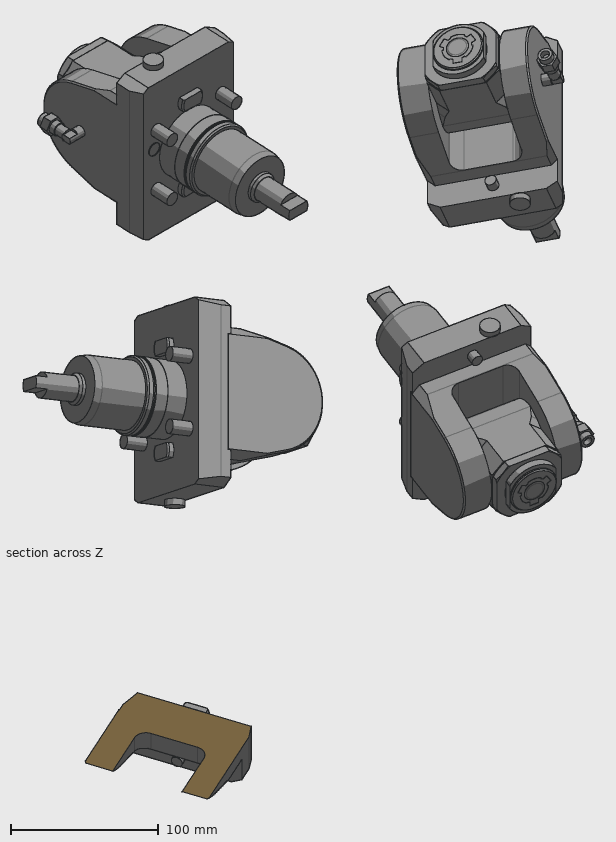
import cadquery as cq
import math


PLATE_THICKNESS = 23.1
PLATE_HALF_HEIGHT = 129.4 / 2
PLATE_LEFT = 46.5
PLATE_RIGHT = -45.2
CORNER_START = 37.5
CORNER_SLOPE = 31.0
REAR_HALF_WIDTH = 42.0
REAR_TAPER_ANGLE = 16.0

FORK_LEFT = 47.0
FORK_RIGHT = PLATE_RIGHT
FORK_HALF_HEIGHT = 45.5
FORK_FLANK_ANGLE = 15.0
FORK_NOSE_RADIUS = 37.7
FORK_EDGE_CHAMFER = 5.9
FORK_RIM_CHAMFER = 1.0
PIVOT_X = -58.2
POCKET_HALF_WIDTH = 25.5
POCKET_CORNER_RADIUS = 8.3

HEAD_RADIUS = 47.8 / 2
HEAD_FRONT = -96.5
HEAD_CORNER = 9.0
RUNOUT_START = -73.0
RUNOUT_MIDDLE = -67.2
RUNOUT_END = -57.5
RUNOUT_MIDDLE_CORNER = 4.4
FACE_FRONT = -102.3
FACE_HALF_WIDTH = 25.0
FACE_HALF_HEIGHT = 23.8
FACE_CORNER = 9.2
FACE_TURNED_RADIUS = 29.2
FACE_CHAMFER = 1.3

NUT_FRONT = -107.5
NUT_RADIUS = 41.7 / 2
NUT_HALF_FLATS = 17.9
NUT_NECK_RADIUS = 18.8
NUT_NECK_LENGTH = 0.2
DISC_FRONT = -109.5
DISC_RADIUS = 17.7
DISC_CHAMFER = 0.9
TOOTH_FRONT = -109.7
TOOTH_ROOT_RADIUS = 10.0
TOOTH_TIP_RADIUS = 12.9
TOOTH_WIDTH = 6.5
LOBE_RADIUS = 11.0
LOBE_WIDTH = 10.0
CENTRE_RADIUS = 7.9
CENTRE_BEVEL_DEPTH = 0.33
CENTRE_BEVEL_WIDTH = 1.3
HEAD_TIP = -110.2

SPIGOT_RADIUS = 27.3
SPIGOT_RELIEF_RADIUS = 27.0
SPIGOT_RELIEF_END = 15.0
GROOVE_START = 24.2
GROOVE_FLOOR_END = 25.0
GROOVE_END = 26.5
GROOVE_RADIUS = 26.6
SPIGOT_END = 30.8
SPIGOT_CHAMFER = 1.0
BODY_RADIUS = 24.0
BODY_END_RADIUS = 23.0
BODY_TAPER_START = 65.0
BODY_END = 70.2
COLLAR_RADIUS = 22.0 / 2
COLLAR_CHAMFER = 1.7
COLLAR_END = 74.5
SHAFT_RADIUS = 9.0
SHAFT_END = 99.0
TANG_END = 108.0
TANG_THICKNESS = 8.3

DOWEL_RADIUS = 8.0 / 2
DOWEL_LENGTH = 6.8
DOWEL_Z = 54.5
PLUG_RADIUS = 7.0
PLUG_HEIGHT = 4.4
PLUG_X = -16.8
PLUG_Y = -17.0
BOLT_RADIUS = 5.0
BOLT_LENGTH = 15.7
BOLT_Y = 30.0
BOLT_Z = 25.0
KEY_RADIUS = 9.8
KEY_WIDTH = 10.0
KEY_HEIGHT = 4.5
KEY_CHAMFER = 1.0
KEY_Z = 36.2
PAD_RADIUS = 5.0
PAD_HEIGHT = 0.7
PAD_Y = -32.3
PAD_Z = 9.8

STEM_X = -58.5
PIPE_RADIUS = 4.1
ELBOW_Y = -54.8
ELBOW_FLAT_FRONT = -61.3
ELBOW_FLAT_INNER_Y = -51.5
ELBOW_FLAT_HALF_HEIGHT = 2.5
SLEEVE_RADIUS = 5.0
SLEEVE_REAR = -69.5
SLEEVE_FRONT = -85.5
HEX_REAR = -74.2
HEX_FRONT = -81.0
HEX_CORNER_RADIUS = 7.2
OUTLET_RADIUS = 3.0
OUTLET_DEPTH = 4.4

OVERLAP = 2.2
CLEAR = 131.0


def box(x0, x1, y0, y1, z0, z1):
    return cq.Workplane("XY").box(x1 - x0, y1 - y0, z1 - z0, centered=False).translate((x0, y0, z0))


def rod_x(x0, x1, radius, y=0.0, z=0.0):
    return cq.Workplane("YZ", origin=(x0, y, z)).circle(radius).extrude(x1 - x0)


def prism_x(points, x0, x1):
    return cq.Workplane("YZ", origin=(x0, 0, 0)).polyline(points).close().extrude(x1 - x0)


def octagon(half_width, half_height, corner_y, corner_z):
    y, z = half_width, half_height
    return [
        (y, z - corner_z), (y - corner_y, z), (corner_y - y, z), (-y, z - corner_z),
        (-y, corner_z - z), (corner_y - y, -z), (y - corner_y, -z), (y, corner_z - z),
    ]


def mounting_plate():
    corner_y = PLATE_LEFT - CORNER_START
    corner_z = corner_y * math.tan(math.radians(CORNER_SLOPE))
    outline = octagon(PLATE_LEFT, PLATE_HALF_HEIGHT, corner_y, corner_z)
    plate = prism_x(outline, -PLATE_THICKNESS, 0)

    taper_depth = PLATE_LEFT - REAR_HALF_WIDTH
    taper_start = -taper_depth / math.tan(math.radians(REAR_TAPER_ANGLE))
    sides = [
        (0, REAR_HALF_WIDTH), (taper_start, PLATE_LEFT), (-PLATE_THICKNESS, PLATE_LEFT),
        (-PLATE_THICKNESS, -PLATE_LEFT), (taper_start, -PLATE_LEFT), (0, -REAR_HALF_WIDTH),
    ]
    footprint = cq.Workplane("XY").polyline(sides).close().extrude(CLEAR, both=True)
    trimmed = box(-CLEAR, CLEAR, PLATE_RIGHT, CLEAR, -CLEAR, CLEAR)
    return plate.intersect(footprint).intersect(trimmed)


def fork_blank():
    angle = math.radians(FORK_FLANK_ANGLE)
    tangent_x = PIVOT_X - FORK_NOSE_RADIUS * math.sin(angle)
    tangent_z = FORK_NOSE_RADIUS * math.cos(angle)
    shoulder_x = tangent_x + (FORK_HALF_HEIGHT - tangent_z) / math.tan(angle)
    root_x = OVERLAP - PLATE_THICKNESS
    blank = (
        cq.Workplane("XZ", origin=(0, FORK_LEFT, 0))
        .moveTo(root_x, FORK_HALF_HEIGHT)
        .lineTo(shoulder_x, FORK_HALF_HEIGHT)
        .lineTo(tangent_x, tangent_z)
        .threePointArc((PIVOT_X - FORK_NOSE_RADIUS, 0), (tangent_x, -tangent_z))
        .lineTo(shoulder_x, -FORK_HALF_HEIGHT)
        .lineTo(root_x, -FORK_HALF_HEIGHT)
        .close()
        .extrude(FORK_LEFT - FORK_RIGHT)
    )
    rim = cq.selectors.BoxSelector(
        (PIVOT_X - FORK_NOSE_RADIUS - OVERLAP, -CLEAR, -CLEAR),
        (shoulder_x - OVERLAP, CLEAR, CLEAR),
    )
    return blank.faces("<Y or >Y").edges(rim).chamfer(FORK_RIM_CHAMFER)


def fork():
    section = octagon(FORK_LEFT, FORK_HALF_HEIGHT, FORK_EDGE_CHAMFER, FORK_EDGE_CHAMFER)
    body = fork_blank().intersect(prism_x(section, -CLEAR, 0))

    pocket_rear = PIVOT_X + HEAD_RADIUS
    pocket = box(-CLEAR, pocket_rear, -POCKET_HALF_WIDTH, POCKET_HALF_WIDTH, -CLEAR, CLEAR)
    return body.cut(pocket.edges("|Z and >X").fillet(POCKET_CORNER_RADIUS))


def corner_wedge(x0, corner0, x1, corner1):
    """Cutter for the +Y +Z head corner; its bevel goes from corner0 at x0 to corner1 at x1."""
    y = POCKET_HALF_WIDTH + OVERLAP
    z = HEAD_RADIUS + OVERLAP
    leg0 = corner0 + 2 * OVERLAP
    leg1 = corner1 + 2 * OVERLAP
    return (
        cq.Workplane("YZ", origin=(x0, 0, 0))
        .polyline([(y, z), (y - leg0, z), (y, z - leg0)]).close()
        .workplane(offset=x1 - x0)
        .polyline([(y, z), (y - leg1, z), (y, z - leg1)]).close()
        .loft(ruled=True)
    )


def swivel_head():
    w = POCKET_HALF_WIDTH
    block = box(HEAD_FRONT, PIVOT_X, -w, w, -HEAD_RADIUS, HEAD_RADIUS)
    hub = cq.Workplane("XZ", origin=(PIVOT_X, w, 0)).circle(HEAD_RADIUS).extrude(2 * w)
    head = block.union(hub)

    stations = [
        (HEAD_FRONT - OVERLAP, HEAD_CORNER), (RUNOUT_START, HEAD_CORNER),
        (RUNOUT_MIDDLE, RUNOUT_MIDDLE_CORNER), (RUNOUT_END, 0.0),
    ]
    for (x0, corner0), (x1, corner1) in zip(stations, stations[1:]):
        wedge = corner_wedge(x0, corner0, x1, corner1)
        for cutter in (wedge, wedge.mirror("XZ")):
            head = head.cut(cutter).cut(cutter.mirror("XY"))

    outline = octagon(FACE_HALF_WIDTH, FACE_HALF_HEIGHT, FACE_CORNER, FACE_CORNER)
    turned = rod_x(FACE_FRONT, HEAD_FRONT, FACE_TURNED_RADIUS).faces("<X or >X").chamfer(FACE_CHAMFER)
    face = prism_x(outline, FACE_FRONT, HEAD_FRONT).intersect(turned)
    return head.union(face)


def clamping_nut():
    flats = box(-CLEAR, 0, -NUT_HALF_FLATS, NUT_HALF_FLATS, -CLEAR, CLEAR)
    nut = rod_x(NUT_FRONT, HEAD_FRONT, NUT_RADIUS).intersect(flats)
    neck = rod_x(FACE_FRONT - NUT_NECK_LENGTH, HEAD_FRONT, NUT_NECK_RADIUS)
    disc = rod_x(DISC_FRONT, NUT_FRONT + OVERLAP, DISC_RADIUS).faces("<X").chamfer(DISC_CHAMFER)

    inner_x = DISC_FRONT + OVERLAP
    toothed = rod_x(TOOTH_FRONT, inner_x, TOOTH_ROOT_RADIUS)
    tooth = box(TOOTH_FRONT, inner_x, -TOOTH_WIDTH / 2, TOOTH_WIDTH / 2, -TOOTH_TIP_RADIUS, 0)
    lobe = box(TOOTH_FRONT, inner_x, -LOBE_WIDTH / 2, LOBE_WIDTH / 2, 0, CLEAR)
    lobe = lobe.intersect(rod_x(TOOTH_FRONT, inner_x, LOBE_RADIUS))
    for turn in (0, 120, 240):
        toothed = toothed.union(tooth.union(lobe).rotate((0, 0, 0), (1, 0, 0), turn))

    centre = rod_x(HEAD_TIP, inner_x, CENTRE_RADIUS)
    centre = centre.faces("<X").chamfer(CENTRE_BEVEL_DEPTH, CENTRE_BEVEL_WIDTH)
    return nut.union(neck).union(disc).union(toothed).union(centre)


def drive_shank():
    profile = [
        (-OVERLAP, 0), (-OVERLAP, SPIGOT_RELIEF_RADIUS),
        (SPIGOT_RELIEF_END, SPIGOT_RELIEF_RADIUS), (SPIGOT_RELIEF_END, SPIGOT_RADIUS),
        (GROOVE_START, SPIGOT_RADIUS), (GROOVE_START, GROOVE_RADIUS),
        (GROOVE_FLOOR_END, GROOVE_RADIUS), (GROOVE_END, SPIGOT_RADIUS),
        (SPIGOT_END - SPIGOT_CHAMFER, SPIGOT_RADIUS), (SPIGOT_END, SPIGOT_RADIUS - SPIGOT_CHAMFER),
        (SPIGOT_END, BODY_RADIUS),
        (BODY_TAPER_START, BODY_RADIUS), (BODY_END, BODY_END_RADIUS),
        (BODY_END, COLLAR_RADIUS),
        (COLLAR_END - COLLAR_CHAMFER, COLLAR_RADIUS), (COLLAR_END, COLLAR_RADIUS - COLLAR_CHAMFER),
        (COLLAR_END, SHAFT_RADIUS), (TANG_END, SHAFT_RADIUS), (TANG_END, 0),
    ]
    shank = cq.Workplane("XY").polyline(profile).close().revolve(360, (0, 0, 0), (1, 0, 0))
    above_tang = box(SHAFT_END, CLEAR, -CLEAR, CLEAR, TANG_THICKNESS / 2, CLEAR)
    return shank.cut(above_tang).cut(above_tang.mirror("XY"))


def plate_fittings():
    fittings = rod_x(-OVERLAP, PAD_HEIGHT, PAD_RADIUS, PAD_Y, PAD_Z)
    key_flats = box(-CLEAR, CLEAR, -CLEAR, CLEAR, -KEY_WIDTH / 2, KEY_WIDTH / 2)
    key = rod_x(-OVERLAP, KEY_HEIGHT, KEY_RADIUS).faces(">X").chamfer(KEY_CHAMFER).intersect(key_flats)
    plug = (
        cq.Workplane("XY", origin=(PLUG_X, PLUG_Y, PLATE_HALF_HEIGHT))
        .circle(PLUG_RADIUS)
        .extrude(PLUG_HEIGHT)
    )
    fittings = fittings.union(plug).union(plug.mirror("XY"))
    front = -PLATE_THICKNESS
    for side in (1, -1):
        fittings = fittings.union(key.translate((0, 0, side * KEY_Z)))
        fittings = fittings.union(
            rod_x(front - DOWEL_LENGTH, front + OVERLAP, DOWEL_RADIUS, 0, side * DOWEL_Z)
        )
        for bolt_y in (BOLT_Y, -BOLT_Y):
            fittings = fittings.union(rod_x(-OVERLAP, BOLT_LENGTH, BOLT_RADIUS, bolt_y, side * BOLT_Z))
    return fittings


def coolant_elbow():
    elbow_outer_y = ELBOW_Y - PIPE_RADIUS
    stem = (
        cq.Workplane("XZ", origin=(STEM_X, FORK_RIGHT + OVERLAP, 0))
        .circle(PIPE_RADIUS)
        .extrude(FORK_RIGHT + OVERLAP - elbow_outer_y)
    )
    arm = rod_x(SLEEVE_REAR - OVERLAP, STEM_X, PIPE_RADIUS, ELBOW_Y)
    elbow = stem.union(arm)
    flat = box(
        ELBOW_FLAT_FRONT, 0, -CLEAR, ELBOW_FLAT_INNER_Y, ELBOW_FLAT_HALF_HEIGHT, CLEAR
    )
    elbow = elbow.cut(flat).cut(flat.mirror("XY"))

    sleeve = rod_x(SLEEVE_FRONT, SLEEVE_REAR, SLEEVE_RADIUS, ELBOW_Y)
    hexagon = (
        cq.Workplane("YZ", origin=(HEX_FRONT, ELBOW_Y, 0))
        .polygon(6, 2 * HEX_CORNER_RADIUS)
        .extrude(HEX_REAR - HEX_FRONT)
    )
    outlet = rod_x(SLEEVE_FRONT, SLEEVE_FRONT + OUTLET_DEPTH, OUTLET_RADIUS, ELBOW_Y)
    return elbow.union(sleeve).union(hexagon).cut(outlet)


result = (
    mounting_plate()
    .union(fork())
    .union(swivel_head())
    .union(clamping_nut())
    .union(drive_shank())
    .union(plate_fittings())
    .union(coolant_elbow())
)